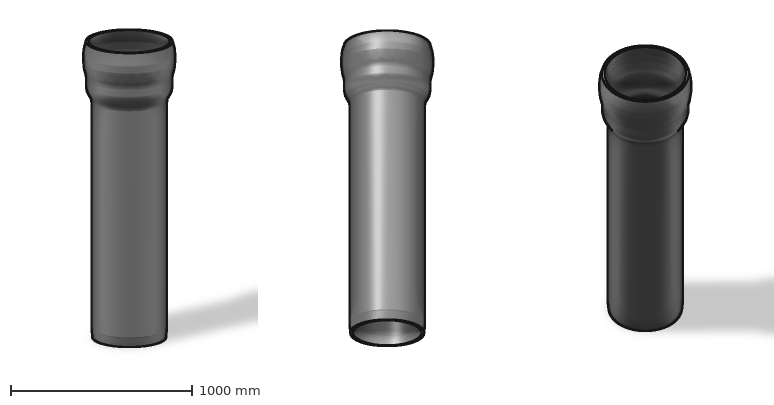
import cadquery as cq
import math

length = 1700.0
socket_diameter = 510.0
neck_diameter = 480.0
pipe_diameter = 420.0
bore_diameter = 390.0
wall = (pipe_diameter - bore_diameter) / 2

socket_radius = socket_diameter / 2
neck_radius = neck_diameter / 2
pipe_radius = pipe_diameter / 2
mouth_radius = neck_radius

socket_top_depth = 73.0
socket_bottom_depth = 114.0
neck_top_depth = 210.0
neck_bottom_depth = 252.0
pipe_top_depth = 343.0

socket_bend_depth = 175.0
neck_bend_depth = 308.0

spigot_length = 51.0
bevel_height = 5.0
bevel_width = 0.8
spigot_taper_angle = 5.0
spigot_top_radius = pipe_radius - bevel_width
spigot_tip_radius = spigot_top_radius - spigot_length * math.tan(math.radians(spigot_taper_angle))


def add_step(profile, upper_radius, lower_radius, top_depth, bend_depth, bottom_depth):
    """Step down to a smaller radius with two arcs tangent to each other and to both cylinders."""
    convex_share = (bend_depth - top_depth) / (bottom_depth - top_depth)
    bend_radius = upper_radius - (upper_radius - lower_radius) * convex_share
    return (
        profile.lineTo(upper_radius, length - top_depth)
        .tangentArcPoint((bend_radius, length - bend_depth), relative=False)
        .tangentArcPoint((lower_radius, length - bottom_depth), relative=False)
    )


def add_socket(profile, inset):
    """Trace the socket down from its mouth to the pipe, moved inward by the inset."""
    mouth = mouth_radius - inset
    socket = socket_radius - inset
    neck = neck_radius - inset
    pipe = pipe_radius - inset

    arc_height = socket_top_depth
    arc_rise = socket - mouth
    arc_radius = (arc_height**2 + arc_rise**2) / (2 * arc_rise)
    half_angle = math.asin(arc_height / arc_radius) / 2
    arc_middle = (
        socket - arc_radius * (1 - math.cos(half_angle)),
        length - socket_top_depth + arc_radius * math.sin(half_angle),
    )
    profile = profile.moveTo(mouth, length)
    profile = profile.threePointArc(arc_middle, (socket, length - socket_top_depth))
    profile = add_step(profile, socket, neck, socket_bottom_depth, socket_bend_depth, neck_top_depth)
    return add_step(profile, neck, pipe, neck_bottom_depth, neck_bend_depth, pipe_top_depth)


def turned_body(inset):
    """Turn the whole pipe outline, moved inward by the inset, into a solid about Z."""
    profile = (
        add_socket(cq.Workplane("XZ"), inset)
        .lineTo(pipe_radius - inset, spigot_length + bevel_height)
        .lineTo(spigot_top_radius - inset, spigot_length)
        .lineTo(spigot_tip_radius - inset, 0)
    )
    return profile.lineTo(0, 0).lineTo(0, length).close().revolve(360, (0, 0, 0), (0, 1, 0))


outer_body = turned_body(0)
hollow = turned_body(wall)

result = outer_body.cut(hollow)